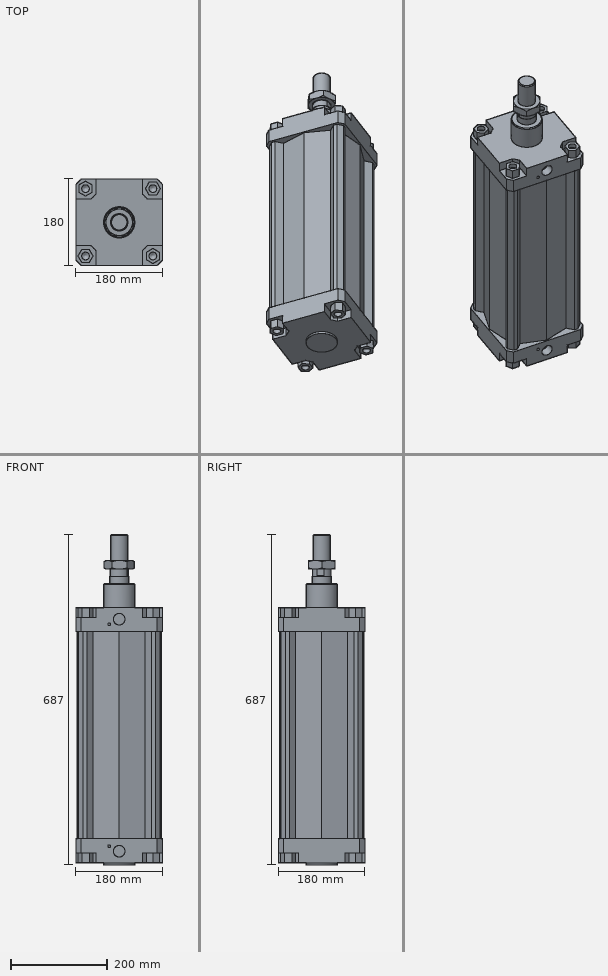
import cadquery as cq
import math

body_length = 530.0
rear_boss_height = 5.0
rod_overhang = 152.0
piston_rod_rotation = -9.0
nut_rotation = 1.0

hex_half_angle = 30.0

cap_side = 180.0
cap_thickness = 50.0
cap_chamfer = 11.0
pocket_size = 42.0
pocket_depth = 20.0
pocket_chamfer = 11.0

tie_spacing = 140.0
tie_nut_flats = 27.0
tie_hole_diameter = 16.0
tie_hole_depth = 10.0
drill_point_angle = 118.0

port_diameter = 24.0
port_depth = 20.0
port_inset = 24.0
screw_diameter = 5.5
screw_depth = 5.0
screw_inset = 34.5
screw_offset = -21.0

ridge_distance = 87.5
valley_offset = 54.0
rib_inner = 67.0
rib_outer = 75.0
rib_distance = 85.0
valley_distance = rib_distance - (rib_inner - valley_offset)

collar_diameter = 65.0
collar_height = 50.0
collar_chamfer = 2.0

rod_diameter = 40.0
thread_diameter = 36.0
thread_length = 72.0
rod_end_chamfer = 2.0
wrench_neck_diameter = 39.0
wrench_neck_length = 15.0
wrench_flat_width = 36.0
wrench_flat_length = 13.5

nut_flats = 55.0
nut_thickness = 18.0
nut_face_diameter = nut_flats
nut_chamfer_angle = 30.0

rear_barrel_level = cap_thickness
front_barrel_level = body_length - cap_thickness
collar_top = body_length + collar_height
rod_end = body_length + rod_overhang
thread_start = rod_end - thread_length


def cylinder(diameter, bottom, height):
    return cq.Workplane("XY").workplane(offset=bottom).circle(diameter / 2).extrude(height)


def hexagon(across_flats, bottom, height, rotation):
    """Hexagonal prism whose corners lie on the X axis before rotation."""
    across_corners = across_flats / math.cos(math.radians(hex_half_angle))
    prism = cq.Workplane("XY").workplane(offset=bottom).polygon(6, across_corners).extrude(height)
    return prism.rotate((0, 0, 0), (0, 0, 1), rotation)


def side_hole(x, z, diameter, depth):
    """Blind round hole entering the cap from its -Y side."""
    return (
        cq.Workplane("XZ", origin=(x, -cap_side / 2, z))
        .circle(diameter / 2)
        .extrude(-depth)
    )


def corner_pocket():
    """Pocket at the +X +Y corner of the cap, with its inner corner bevelled."""
    center = (cap_side - pocket_size) / 2
    return (
        cq.Workplane("XY", origin=(center, center, cap_thickness - pocket_depth))
        .rect(pocket_size, pocket_size)
        .extrude(pocket_depth)
        .edges("|Z and <X and <Y")
        .chamfer(pocket_chamfer)
    )


def tie_nut():
    """Hexagonal nut filling the pocket height, drilled with a conical bottom."""
    hole_radius = tie_hole_diameter / 2
    point_depth = hole_radius / math.tan(math.radians(drill_point_angle / 2))
    hole_bottom = cap_thickness - tie_hole_depth
    drill = (
        cq.Workplane("XZ")
        .moveTo(0, cap_thickness)
        .lineTo(hole_radius, cap_thickness)
        .lineTo(hole_radius, hole_bottom)
        .lineTo(0, hole_bottom - point_depth)
        .close()
        .revolve(360, (0, 0, 0), (0, 1, 0))
    )
    prism = hexagon(tie_nut_flats, cap_thickness - pocket_depth, pocket_depth, 0)
    return prism.cut(drill)


def end_cap():
    """Cap with its inner face at Z = 0 and its outer face at Z = cap_thickness."""
    cap = (
        cq.Workplane("XY")
        .rect(cap_side, cap_side)
        .extrude(cap_thickness)
        .edges("|Z")
        .chamfer(cap_chamfer)
    )
    pocket = corner_pocket()
    for corner in range(4):
        turn = 90 * corner
        cap = cap.cut(pocket.rotate((0, 0, 0), (0, 0, 1), turn))
        nut = tie_nut().translate((tie_spacing / 2, tie_spacing / 2, 0))
        cap = cap.union(nut.rotate((0, 0, 0), (0, 0, 1), turn))
    cap = cap.cut(side_hole(0, cap_thickness - port_inset, port_diameter, port_depth))
    return cap.cut(side_hole(screw_offset, cap_thickness - screw_inset, screw_diameter, screw_depth))


def barrel():
    """Prism between the caps; one side of the outline is repeated every quarter turn."""
    side_points = [
        (ridge_distance, 0),
        (valley_distance, valley_offset),
        (rib_distance, rib_inner),
        (rib_distance, rib_outer),
        (rib_outer, rib_distance),
        (rib_inner, rib_distance),
        (valley_offset, valley_distance),
    ]
    outline = []
    for side in range(4):
        cosine = round(math.cos(math.pi / 2 * side))
        sine = round(math.sin(math.pi / 2 * side))
        for x, y in side_points:
            outline.append((x * cosine - y * sine, x * sine + y * cosine))
    return (
        cq.Workplane("XY")
        .workplane(offset=rear_barrel_level)
        .polyline(outline)
        .close()
        .extrude(front_barrel_level - rear_barrel_level)
    )


def make_housing():
    front_cap = end_cap().translate((0, 0, front_barrel_level))
    rear_cap = end_cap().mirror("XY").translate((0, 0, rear_barrel_level))
    collar = cylinder(collar_diameter, body_length, collar_height)
    collar = collar.faces(">Z").chamfer(collar_chamfer)
    rear_boss = cylinder(collar_diameter, -rear_boss_height, rear_boss_height)
    return barrel().union(front_cap).union(rear_cap).union(collar).union(rear_boss)


def make_piston_rod():
    """Rod standing on the collar: shank, neck with two wrench flats, threaded end."""
    neck_start = thread_start - wrench_neck_length
    shank = cylinder(rod_diameter, collar_top, neck_start - collar_top)
    flats = (
        cq.Workplane("XY")
        .workplane(offset=thread_start - wrench_flat_length)
        .rect(wrench_flat_width, rod_diameter)
        .extrude(wrench_flat_length)
    )
    plain_length = wrench_neck_length - wrench_flat_length
    plain_neck = cylinder(wrench_neck_diameter, neck_start, plain_length)
    flat_neck = cylinder(wrench_neck_diameter, neck_start, wrench_neck_length).intersect(flats)
    thread = cylinder(thread_diameter, thread_start, thread_length)
    thread = thread.faces(">Z").chamfer(rod_end_chamfer)
    rod = shank.union(plain_neck).union(flat_neck).union(thread)
    return rod.rotate((0, 0, 0), (0, 0, 1), piston_rod_rotation)


def make_rod_nut():
    """Hexagonal nut seated against the wrench neck, corners bevelled on both faces."""
    nut_top = thread_start + nut_thickness
    corner_radius = nut_flats / 2 / math.cos(math.radians(hex_half_angle))
    face_radius = nut_face_diameter / 2
    chamfer_drop = (corner_radius - face_radius) * math.tan(math.radians(nut_chamfer_angle))
    envelope = (
        cq.Workplane("XZ")
        .moveTo(0, thread_start)
        .lineTo(face_radius, thread_start)
        .lineTo(corner_radius, thread_start + chamfer_drop)
        .lineTo(corner_radius, nut_top - chamfer_drop)
        .lineTo(face_radius, nut_top)
        .lineTo(0, nut_top)
        .close()
        .revolve(360, (0, 0, 0), (0, 1, 0))
    )
    blank = hexagon(nut_flats, thread_start, nut_thickness, nut_rotation).intersect(envelope)
    return blank.cut(cylinder(thread_diameter, thread_start, nut_thickness))


housing = make_housing()
piston_rod = make_piston_rod()
rod_nut = make_rod_nut()

result = cq.Compound.makeCompound([housing.val(), piston_rod.val(), rod_nut.val()])